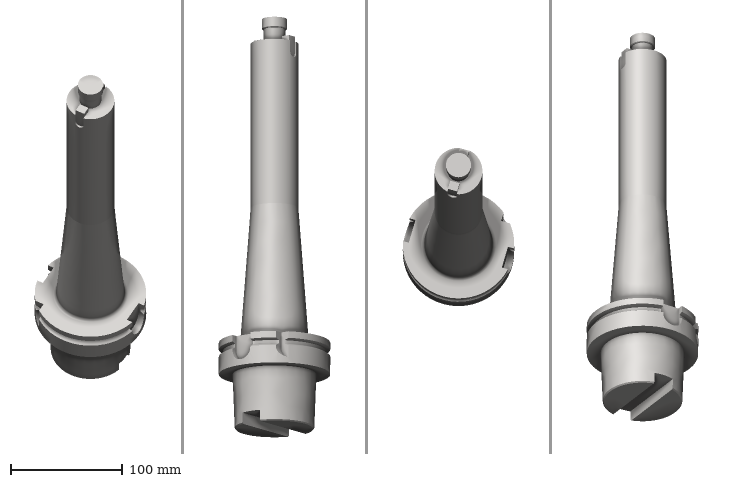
import cadquery as cq

total_height = 376.5
shank_height = 50.0
flange_height = 29.0
flange_top = shank_height + flange_height
cone_top = 203.0
nose_face = 354.0

shank_base_radius = 35.8
shank_top_radius = 37.5
shank_chamfer = 1.0
drive_slot_width = 19.5
drive_slot_height = 10.0

flange_radius = 50.0
groove_floor_radius = 46.5
groove_mouth_top = flange_top - 6.0
groove_floor_top = flange_top - 7.5
groove_floor_bottom = flange_top - 10.5
groove_mouth_bottom = flange_top - 12.8

slot_depth_from_top = 23.7
slot_floor_radius = 43.3
narrow_slot_width = 20.0
wide_slot_width = 22.0
notch_width = 20.0
notch_corner_x = -31.0
notch_corner_y = -31.3

cone_base_radius = 31.0
root_fillet = 3.0
selection_margin = 0.5
nose_radius = 21.5

key_width = 8.5
key_inner = 11.5
key_outer = 19.5
key_top = nose_face + 5.0
key_bottom = 339.2

head_radius = 11.3
head_height = 9.5
head_chamfer = 0.8
stud_radius = 9.8
relief_radius = 9.0
relief_height = 1.0


def revolved(profile):
    """Turn a (radius, height) outline around the Z axis."""
    return cq.Workplane("XZ").polyline(profile).close().revolve(360, (0, 0, 0), (0, 1, 0))


def round_bottom_slot(plane, width, bottom, top):
    """Upright slot outline with a semicircular bottom, centred on the vertical through the plane origin."""
    half = width / 2
    arc_start = bottom + half
    return (
        cq.Workplane(plane)
        .moveTo(-half, top)
        .lineTo(-half, arc_start)
        .threePointArc((0, bottom), (half, arc_start))
        .lineTo(half, top)
        .close()
    )


def make_turned_body():
    """Shank, flange, cone and nose as one turned blank."""
    body = revolved([
        (0, 0),
        (shank_base_radius - shank_chamfer, 0),
        (shank_base_radius, shank_chamfer),
        (shank_top_radius, shank_height),
        (flange_radius, shank_height),
        (flange_radius, groove_mouth_bottom),
        (groove_floor_radius, groove_floor_bottom),
        (groove_floor_radius, groove_floor_top),
        (flange_radius, groove_mouth_top),
        (flange_radius, flange_top),
        (cone_base_radius, flange_top),
        (nose_radius, cone_top),
        (nose_radius, nose_face),
        (0, nose_face),
    ])
    reach = cone_base_radius + selection_margin
    root_edge = cq.selectors.BoxSelector(
        (-reach, -reach, flange_top - selection_margin),
        (reach, reach, flange_top + selection_margin),
        boundingbox=True,
    )
    return body.edges(root_edge).fillet(root_fillet)


def rim_slot(width, centre_y, floor_x, side):
    """Cutter that opens the rim outwards along X from floor_x, on the given side (-1 or 1)."""
    plane = cq.Plane(origin=(floor_x, centre_y, 0), xDir=(0, side, 0), normal=(side, 0, 0))
    bottom = flange_top - slot_depth_from_top
    return round_bottom_slot(plane, width, bottom, flange_top).extrude(flange_radius)


def key_prism(side, outer):
    """Key shape with a rounded lower end, reaching out to `outer` on the -Y (-1) or +Y (1) side."""
    plane = cq.Plane(origin=(0, side * key_inner, 0), xDir=(-side, 0, 0), normal=(0, side, 0))
    return round_bottom_slot(plane, key_width, key_bottom, key_top).extrude(outer - key_inner)


def make_key(side):
    """Drive key set slightly back from the nose surface."""
    return key_prism(side, key_outer)


def key_seat(side):
    """Pocket for a drive key, open at the nose face and at the nose surface."""
    return key_prism(side, nose_radius)


def make_holder():
    """Turned body with the drive slot, rim slots and key seats cut into it."""
    body = make_turned_body()
    drive_slot = cq.Workplane("XY").box(
        2 * flange_radius, drive_slot_width, drive_slot_height, centered=(True, True, False)
    )
    body = body.cut(drive_slot)
    body = body.cut(rim_slot(narrow_slot_width, 0, -slot_floor_radius, -1))
    body = body.cut(rim_slot(wide_slot_width, 0, slot_floor_radius, 1))
    body = body.cut(rim_slot(notch_width, notch_corner_y - notch_width / 2, notch_corner_x, -1))
    for side in (-1, 1):
        body = body.cut(key_seat(side))
    return body


def make_stud():
    """Headed stud with a relieved foot, resting on the nose face."""
    head_bottom = total_height - head_height
    return revolved([
        (0, nose_face),
        (relief_radius, nose_face),
        (stud_radius, nose_face + relief_height),
        (stud_radius, head_bottom),
        (head_radius - head_chamfer, head_bottom),
        (head_radius, head_bottom + head_chamfer),
        (head_radius, total_height),
        (0, total_height),
    ])


holder = make_holder()
keys = [make_key(side) for side in (-1, 1)]
stud = make_stud()

result = cq.Compound.makeCompound([holder.val(), *[key.val() for key in keys], stud.val()])